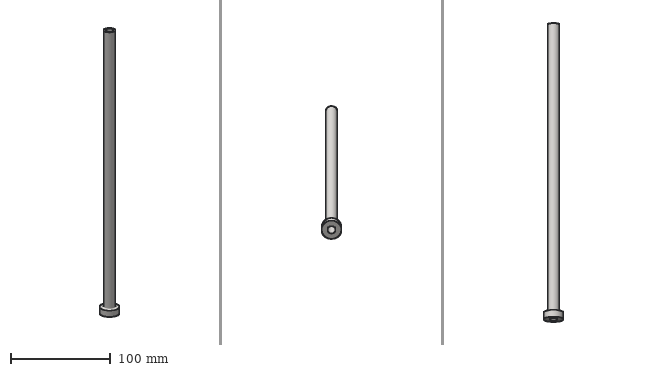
import cadquery as cq

total_length = 307.0
head_diameter = 20.0
head_height = 7.0
tube_diameter = 12.0
bore_diameter = 8.0
root_fillet_radius = 0.8

head_radius = head_diameter / 2
tube_radius = tube_diameter / 2
bore_radius = bore_diameter / 2
fillet_mid_offset = root_fillet_radius * (1 - 0.5 ** 0.5)

half_section = (
    cq.Workplane("XZ")
    .moveTo(bore_radius, 0)
    .lineTo(head_radius, 0)
    .lineTo(head_radius, head_height)
    .lineTo(tube_radius + root_fillet_radius, head_height)
    .threePointArc(
        (tube_radius + fillet_mid_offset, head_height + fillet_mid_offset),
        (tube_radius, head_height + root_fillet_radius),
    )
    .lineTo(tube_radius, total_length)
    .lineTo(bore_radius, total_length)
    .close()
)

result = half_section.revolve(360, (0, 0), (0, 1))